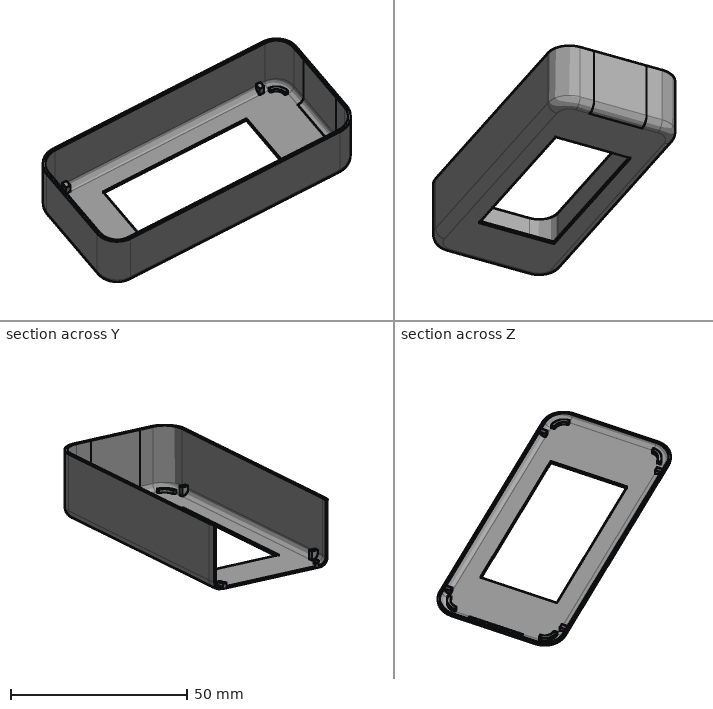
import cadquery as cq

WIDTH = 39.6
LENGTH = 84.8
HEIGHT = 19.8
CORNER_RADIUS = 6.8
EDGE_RADIUS = 2.8
THICKNESS = 0.8

INNER_WIDTH = WIDTH - 2 * THICKNESS
INNER_LENGTH = LENGTH - 2 * THICKNESS
INNER_CORNER_RADIUS = CORNER_RADIUS - THICKNESS
INNER_EDGE_RADIUS = EDGE_RADIUS - THICKNESS

CORNER_X = WIDTH / 2 - CORNER_RADIUS
CORNER_Y = LENGTH / 2 - CORNER_RADIUS

WINDOW_WIDTH = 23.7
WINDOW_LENGTH = 48.7
WINDOW_CENTER_Y = 0.3

LEDGE_OUTER_RADIUS = CORNER_RADIUS - EDGE_RADIUS
LEDGE_WIDTH = 1.0
LEDGE_HEIGHT = 1.0

PANEL_WIDTH = 16.6
PANEL_CENTER_X = 0.25

BLOCK_LENGTH = 1.5
BLOCK_HEIGHT = 2.7
BLOCK_CENTERS_Y = (-32.5, 33.3)


def rounded_tray(width, length, corner_radius, edge_radius, bottom):
    """Solid up to the rim, with round upright corners and a rounded bottom edge."""
    return (
        cq.Workplane("XY", origin=(0, 0, bottom))
        .rect(width, length)
        .extrude(HEIGHT - bottom)
        .edges("|Z")
        .fillet(corner_radius)
        .faces("<Z")
        .edges()
        .fillet(edge_radius)
    )


def make_cavity():
    """Space inside the walls, above the floor."""
    return rounded_tray(INNER_WIDTH, INNER_LENGTH, INNER_CORNER_RADIUS, INNER_EDGE_RADIUS, THICKNESS)


def make_corner_ledge(side_x, side_y):
    """Quarter ring on the floor, in the corner on the given sides."""
    ring = (
        cq.Workplane("XY", origin=(0, 0, THICKNESS))
        .circle(LEDGE_OUTER_RADIUS)
        .circle(LEDGE_OUTER_RADIUS - LEDGE_WIDTH)
        .extrude(LEDGE_HEIGHT)
    )
    quadrant = (
        cq.Workplane("XY")
        .rect(side_x * LEDGE_OUTER_RADIUS, side_y * LEDGE_OUTER_RADIUS, centered=False)
        .extrude(THICKNESS + LEDGE_HEIGHT)
    )
    return ring.intersect(quadrant).translate((side_x * CORNER_X, side_y * CORNER_Y, 0))


def make_shell():
    """Hollow tray with its window and corner ledges, still whole at the +Y end."""
    outer = rounded_tray(WIDTH, LENGTH, CORNER_RADIUS, EDGE_RADIUS, 0)
    window = cq.Workplane("XY").center(0, WINDOW_CENTER_Y).rect(WINDOW_WIDTH, WINDOW_LENGTH).extrude(THICKNESS)
    tray = outer.cut(make_cavity()).cut(window)
    for side_x in (-1, 1):
        for side_y in (-1, 1):
            tray = tray.union(make_corner_ledge(side_x, side_y))
    return tray


def make_panel_zone():
    """Full-height slab at the +Y end, as deep as the edge rounding."""
    return (
        cq.Workplane("XY")
        .center(PANEL_CENTER_X, LENGTH / 2 - EDGE_RADIUS / 2)
        .rect(PANEL_WIDTH, EDGE_RADIUS)
        .extrude(HEIGHT)
    )


def make_block(side_x, center_y):
    """Block against a long wall, with its underside shaped to the edge rounding."""
    center_x = side_x * (INNER_WIDTH / 2 - INNER_EDGE_RADIUS / 2)
    blank = (
        cq.Workplane("XY", origin=(center_x, center_y, THICKNESS))
        .rect(INNER_EDGE_RADIUS, BLOCK_LENGTH)
        .extrude(BLOCK_HEIGHT)
    )
    return blank.intersect(make_cavity())


shell = make_shell()
panel_zone = make_panel_zone()
housing = shell.cut(panel_zone)
end_panel = shell.intersect(panel_zone)

blocks = [make_block(side_x, center_y) for side_x in (-1, 1) for center_y in BLOCK_CENTERS_Y]

result = cq.Compound.makeCompound(
    [
        housing.val(),
        end_panel.val(),
        *(block.val() for block in blocks),
    ]
)